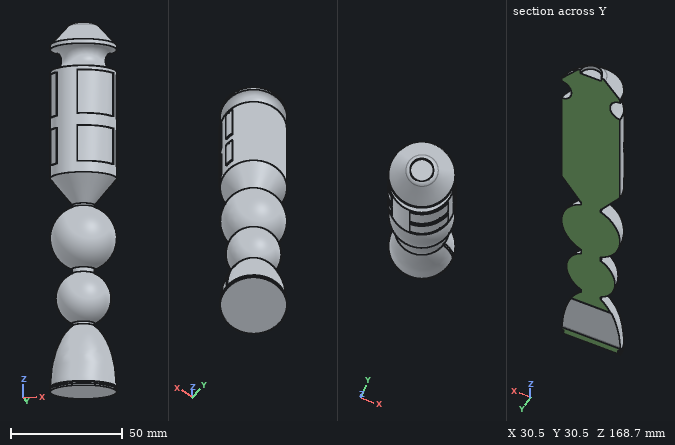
import cadquery as cq
import math

body_radius = 15.0
neck_radius = 5.0

rim_height = 1.0
rim_groove_height = 1.0
rim_groove_depth = 1.0

bell_height_axis = 30.0
bell_base = rim_height + rim_groove_height

slot_width = 1.0
slot_bottom = 3.9
slot_length = 20.0

small_ball_radius = 12.5
small_ball_center = 42.9
large_ball_center = 70.5

cone_bottom = 85.7
cone_top = 97.9
body_top = 146.8

groove_radius = 5.0
groove_center = body_top + groove_radius

total_height = 168.7
head_bottom = groove_center + groove_radius
head_edge_height = 2.0
head_cone_bottom = head_bottom + head_edge_height
nose_radius = 7.3
nose_height = 1.2
nose_bottom = total_height - nose_height
hole_radius = 5.2
hole_depth = 2.2

pad_thickness = 0.5
pad_rows = [(103.0, 119.3), (124.9, 144.8)]
pad_sectors = [(0, 15), (210, 229), (270, 341)]


def ball_half_height(radius):
    """Height above the ball centre at which the neck meets the ball."""
    return math.sqrt(radius**2 - neck_radius**2)


def bell_point(angle):
    """Point on the bell's ellipse at a parametric angle above its base."""
    radians = math.radians(angle)
    return (body_radius * math.cos(radians), bell_base + bell_height_axis * math.sin(radians))


def turned_body():
    """Solid of revolution about Z, drawn as (radius, height) from bottom to top."""
    rim_groove_radius = body_radius - rim_groove_depth
    bell_end_angle = math.degrees(math.acos(neck_radius / body_radius))
    bell_steps = 8
    bell_curve = [bell_point(bell_end_angle * i / bell_steps) for i in range(1, bell_steps + 1)]

    profile = (
        cq.Workplane("XZ")
        .moveTo(0, 0)
        .lineTo(body_radius, 0)
        .lineTo(body_radius, rim_height)
        .lineTo(rim_groove_radius, rim_height)
        .lineTo(rim_groove_radius, bell_base)
        .lineTo(body_radius, bell_base)
        .spline(bell_curve, includeCurrent=True)
    )

    for center, radius in ((small_ball_center, small_ball_radius), (large_ball_center, body_radius)):
        half_height = ball_half_height(radius)
        profile = profile.lineTo(neck_radius, center - half_height).threePointArc(
            (radius, center), (neck_radius, center + half_height)
        )

    profile = (
        profile.lineTo(neck_radius, cone_bottom)
        .lineTo(body_radius, cone_top)
        .lineTo(body_radius, body_top)
        .threePointArc((body_radius - groove_radius, groove_center), (body_radius, head_bottom))
        .lineTo(body_radius, head_cone_bottom)
        .lineTo(nose_radius, nose_bottom)
        .tangentArcPoint((hole_radius, total_height), relative=False)
        .lineTo(hole_radius, total_height - hole_depth)
        .lineTo(0, total_height - hole_depth)
        .close()
    )
    return profile.revolve(360, (0, 0, 0), (0, 1, 0))


def pad(start_angle, end_angle, bottom, top):
    """Curved plate standing proud of the body; it reaches inward to join it firmly."""
    inner_radius = body_radius - pad_thickness
    outer_radius = body_radius + pad_thickness

    def at(radius, angle):
        radians = math.radians(angle)
        return (radius * math.cos(radians), radius * math.sin(radians))

    middle_angle = (start_angle + end_angle) / 2
    return (
        cq.Workplane("XY", origin=(0, 0, bottom))
        .moveTo(*at(inner_radius, start_angle))
        .lineTo(*at(outer_radius, start_angle))
        .threePointArc(at(outer_radius, middle_angle), at(outer_radius, end_angle))
        .lineTo(*at(inner_radius, end_angle))
        .threePointArc(at(inner_radius, middle_angle), at(inner_radius, start_angle))
        .close()
        .extrude(top - bottom)
    )


def bell_slot():
    """Upright round-ended cutter that passes through the bell along X."""
    slot_center = slot_bottom + slot_length / 2
    return (
        cq.Workplane("YZ", origin=(0, 0, slot_center))
        .slot2D(slot_length, slot_width, 90)
        .extrude(body_radius, both=True)
    )


result = turned_body().cut(bell_slot())
for row_bottom, row_top in pad_rows:
    for sector_start, sector_end in pad_sectors:
        result = result.union(pad(sector_start, sector_end, row_bottom, row_top))